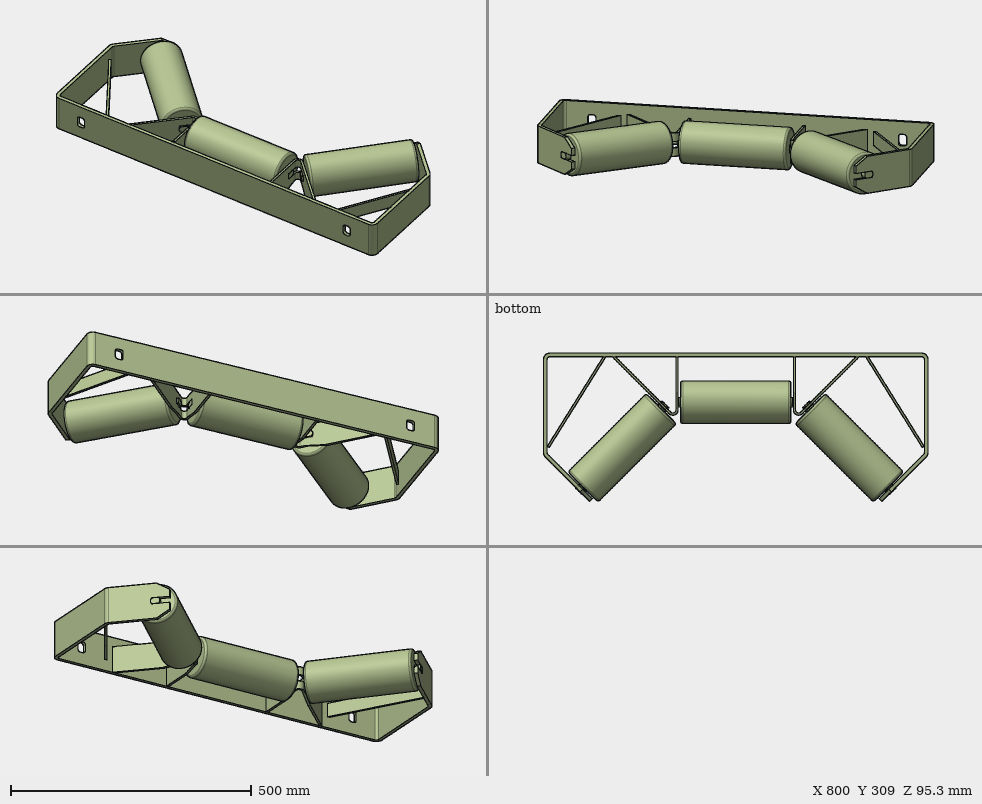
import cadquery as cq
import math


FRAME_LENGTH = 800.0
FRAME_DEPTH = 309.0
FRAME_HEIGHT = 80.0
FRAME_THICKNESS = 8.0
FRAME_BEND_RADIUS = 14.0
ARM_CORNER_Y = 213.0
ARM_ANGLE = 45.0
ARM_CHAMFER_ALONG = 28.0
ARM_CHAMFER_HEIGHT = 18.0

MOUNT_SPACING = 664.0
MOUNT_WIDTH = 18.0
MOUNT_HEIGHT = 25.0
MOUNT_CORNER_RADIUS = 6.0

ROLLER_DIAMETER = 89.0
ROLLER_LENGTH = 230.0
ROLLER_EDGE_RADIUS = 5.0
SHAFT_DIAMETER = 20.0
SHAFT_FLATS = 14.0
SHAFT_SHOULDER = 3.6
ROLLER_TILT = 1.5
SIDE_SHAFT_OVERHANG = 13.0
SIDE_ROLLER_GAP = 4.0
SIDE_SHAFT_ALONG_ARM = 105.0
CENTRE_ROLLER_Y = 102.0
CENTRE_ROLLER_Z = -6.8
CENTRE_ROLLER_GAP = 5.0

BRACKET_THICKNESS = 5.0
BRACKET_BEND_RADIUS = 11.0
BRACKET_PEAK_Y = 130.0
BRACKET_TOP_Z = 18.0
BRACKET_TAPER_DEPTH = 8.0
BRACKET_TAPER_LENGTH = 32.0
BRACKET_TAPER_END_Y = 115.0

STAY_THICKNESS = 5.0
STAY_HEIGHT = 30.0
STAY_ANGLE = 58.0
STAY_FOOT_X = -273.0

SLOT_RUNOUT = 80.0

SIN_ARM = math.sin(math.radians(ARM_ANGLE))
COS_ARM = math.cos(math.radians(ARM_ANGLE))
SIN_TILT = math.sin(math.radians(ROLLER_TILT))
COS_TILT = math.cos(math.radians(ROLLER_TILT))

HALF_LENGTH = FRAME_LENGTH / 2
FRAME_BOTTOM_Z = -FRAME_HEIGHT / 2

ARM_DIRECTION = cq.Vector(SIN_ARM, COS_ARM, 0)
ARM_CORNER = cq.Vector(-HALF_LENGTH, ARM_CORNER_Y, 0)
SIDE_AXIS = cq.Plane(
    origin=ARM_CORNER + ARM_DIRECTION * SIDE_SHAFT_ALONG_ARM,
    xDir=ARM_DIRECTION,
    normal=cq.Vector(COS_ARM * COS_TILT, -SIN_ARM * COS_TILT, -SIN_TILT),
)
CENTRE_ROLLER_START_X = -ROLLER_LENGTH / 2
BRACKET_FACE_X = CENTRE_ROLLER_START_X - CENTRE_ROLLER_GAP
CENTRE_AXIS = cq.Plane(
    origin=(BRACKET_FACE_X - BRACKET_THICKNESS, CENTRE_ROLLER_Y, CENTRE_ROLLER_Z),
    xDir=(0, 1, 0),
    normal=(1, 0, 0),
)
SIDE_ROLLER_START = FRAME_THICKNESS + SIDE_ROLLER_GAP
CENTRE_ROLLER_START = BRACKET_THICKNESS + CENTRE_ROLLER_GAP


def mirrored(body):
    """The right-hand copy of a left-hand body."""
    return body.mirror("YZ")


def bent_bar(corners, bend_radius, thickness, height):
    """A flat bar standing on edge, bent along the given centreline corners."""
    path = cq.Wire.makePolygon(corners).fillet(bend_radius)
    section = cq.Plane(origin=corners[0], xDir=(0, 0, 1), normal=corners[1] - corners[0])
    return cq.Workplane(section).rect(height, thickness).sweep(cq.Workplane(path))


def shaft_slot(axis, start, length):
    """Cutter for an open slot whose round bottom seats a shaft with flats."""
    radius = SHAFT_DIAMETER / 2
    plane = cq.Workplane(axis).workplane(offset=start)
    seat = plane.circle(radius).extrude(length)
    opening = plane.center(SLOT_RUNOUT / 2, 0).rect(SLOT_RUNOUT, SHAFT_DIAMETER).extrude(length)
    between_flats = plane.rect(2 * SLOT_RUNOUT, SHAFT_FLATS).extrude(length)
    return seat.union(opening).intersect(between_flats)


def make_frame():
    half = FRAME_THICKNESS / 2
    wall_x = HALF_LENGTH - half
    corner_y = ARM_CORNER_Y - half * math.tan(math.radians(ARM_ANGLE) / 2)
    tip_y = FRAME_DEPTH - half * SIN_ARM
    tip_x = wall_x - (tip_y - corner_y) * SIN_ARM / COS_ARM
    tip = cq.Vector(-tip_x, tip_y, 0)
    left = [
        tip,
        cq.Vector(-wall_x, corner_y, 0),
        cq.Vector(-wall_x, half, 0),
    ]
    right = [cq.Vector(-point.x, point.y, 0) for point in reversed(left)]
    frame = bent_bar(left + right, FRAME_BEND_RADIUS - half, FRAME_THICKNESS, FRAME_HEIGHT)

    slot = shaft_slot(SIDE_AXIS, -FRAME_THICKNESS, 3 * FRAME_THICKNESS)
    for cutter in (arm_tip_corners(tip), slot):
        frame = frame.cut(cutter).cut(mirrored(cutter))

    for side in (-1, 1):
        frame = frame.cut(mount_hole(side * MOUNT_SPACING / 2))
    return frame


def arm_tip_corners(tip):
    """Cutter for the two bevelled corners at the end of the left arm."""
    across_arm = cq.Vector(COS_ARM, -SIN_ARM, 0)
    plane = cq.Plane(origin=tip, xDir=ARM_DIRECTION, normal=across_arm)
    edge = FRAME_HEIGHT / 2
    corners = cq.Workplane(plane)
    for side in (-1, 1):
        corners = corners.polyline([
            (-ARM_CHAMFER_ALONG, side * edge),
            (0, side * edge),
            (0, side * (edge - ARM_CHAMFER_HEIGHT)),
        ]).close()
    return corners.extrude(FRAME_THICKNESS, both=True)


def mount_hole(x):
    return (
        cq.Workplane("XY")
        .box(MOUNT_WIDTH, 2 * FRAME_THICKNESS, MOUNT_HEIGHT)
        .edges("|Y")
        .fillet(MOUNT_CORNER_RADIUS)
        .translate((x, FRAME_THICKNESS / 2, 0))
    )


def make_roller(axis, start, overhang):
    """A roller beginning at a distance along its axis, with its shaft ends."""
    drum = (
        cq.Workplane(axis)
        .workplane(offset=start)
        .circle(ROLLER_DIAMETER / 2)
        .extrude(ROLLER_LENGTH)
        .edges()
        .fillet(ROLLER_EDGE_RADIUS)
    )
    shaft_length = ROLLER_LENGTH + 2 * overhang
    round_length = ROLLER_LENGTH + 2 * SHAFT_SHOULDER
    shaft_end = cq.Workplane(axis).workplane(offset=start - overhang)
    round_bar = shaft_end.circle(SHAFT_DIAMETER / 2).extrude(shaft_length)
    between_flats = shaft_end.rect(SHAFT_DIAMETER, SHAFT_FLATS).extrude(shaft_length)
    shoulders = (
        cq.Workplane(axis)
        .workplane(offset=start - SHAFT_SHOULDER)
        .circle(SHAFT_DIAMETER / 2)
        .extrude(round_length)
    )
    return drum.union(round_bar.intersect(between_flats)).union(shoulders)


def make_bracket():
    """Left centre bracket: an upright leg and a leg parallel to the arm."""
    half = BRACKET_THICKNESS / 2
    height = BRACKET_TOP_Z - FRAME_BOTTOM_Z
    middle_z = (BRACKET_TOP_Z + FRAME_BOTTOM_Z) / 2
    bend_radius = BRACKET_BEND_RADIUS - half
    upright_x = BRACKET_FACE_X - half
    bend_centre_y = BRACKET_PEAK_Y - BRACKET_BEND_RADIUS
    turn = math.radians(180 - ARM_ANGLE)
    corner_y = bend_centre_y + bend_radius * math.tan(turn / 2)
    corners = [
        cq.Vector(upright_x, FRAME_THICKNESS, middle_z),
        cq.Vector(upright_x, corner_y, middle_z),
        cq.Vector(upright_x - corner_y * SIN_ARM / COS_ARM, 0, middle_z),
    ]
    bracket = bent_bar(corners, bend_radius, BRACKET_THICKNESS, height)
    base = cq.Workplane("XY").box(FRAME_LENGTH, 2 * FRAME_THICKNESS, 2 * FRAME_HEIGHT)
    bracket = bracket.cut(base)

    taper = (
        cq.Workplane("YZ", origin=(-HALF_LENGTH, 0, 0))
        .polyline([
            (BRACKET_TAPER_END_Y - BRACKET_TAPER_LENGTH, FRAME_BOTTOM_Z),
            (BRACKET_TAPER_END_Y, FRAME_BOTTOM_Z + BRACKET_TAPER_DEPTH),
            (FRAME_DEPTH, FRAME_BOTTOM_Z + BRACKET_TAPER_DEPTH),
            (FRAME_DEPTH, FRAME_BOTTOM_Z),
        ])
        .close()
        .extrude(HALF_LENGTH)
    )
    side_slot_start = SIDE_ROLLER_START + ROLLER_LENGTH
    return (
        bracket.cut(taper)
        .cut(shaft_slot(SIDE_AXIS, side_slot_start, SIDE_SHAFT_OVERHANG))
        .cut(shaft_slot(CENTRE_AXIS, -BRACKET_THICKNESS, 2 * BRACKET_THICKNESS))
    )


def make_stay():
    """Left stay: square end touching the upright, foot cut flush on the base."""
    half = STAY_THICKNESS / 2
    run = math.cos(math.radians(STAY_ANGLE))
    rise = math.sin(math.radians(STAY_ANGLE))
    wall_x = FRAME_THICKNESS - HALF_LENGTH
    foot_half = half / rise
    length = (STAY_FOOT_X - wall_x - half * rise) / run
    end_x = STAY_FOOT_X - length * run
    end_y = FRAME_THICKNESS + length * rise
    return (
        cq.Workplane("XY", origin=(0, 0, -STAY_HEIGHT / 2))
        .polyline([
            (STAY_FOOT_X - foot_half, FRAME_THICKNESS),
            (STAY_FOOT_X + foot_half, FRAME_THICKNESS),
            (end_x + half * rise, end_y + half * run),
            (end_x - half * rise, end_y - half * run),
        ])
        .close()
        .extrude(STAY_HEIGHT)
    )


frame = make_frame()
bracket = make_bracket()
stay = make_stay()
side_roller = make_roller(SIDE_AXIS, SIDE_ROLLER_START, SIDE_SHAFT_OVERHANG)
centre_roller = make_roller(CENTRE_AXIS, CENTRE_ROLLER_START, CENTRE_ROLLER_START)

bodies = [frame.val(), centre_roller.val()]
for body in (bracket, stay, side_roller):
    bodies.append(body.val())
    bodies.append(mirrored(body).val())

result = cq.Compound.makeCompound(bodies)